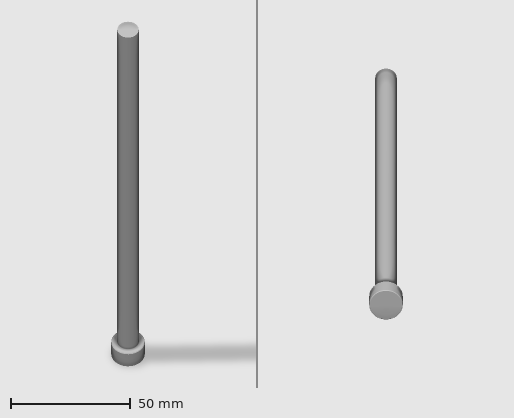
import cadquery as cq

total_length = 200.0
head_diameter = 14.0
head_height = 8.0
shank_diameter = 9.0

rim_chamfer = 0.3
root_fillet = 0.3

head_radius = head_diameter / 2
shank_radius = shank_diameter / 2
root_radius = shank_radius + root_fillet

half_section = (
    cq.Workplane("XZ")
    .lineTo(head_radius - rim_chamfer, 0)
    .lineTo(head_radius, rim_chamfer)
    .lineTo(head_radius, head_height - rim_chamfer)
    .lineTo(head_radius - rim_chamfer, head_height)
    .lineTo(root_radius, head_height)
    .radiusArc((shank_radius, head_height + root_fillet), root_fillet)
    .lineTo(shank_radius, total_length)
    .lineTo(0, total_length)
    .close()
)

result = half_section.revolve(360, (0, 0), (0, 1))